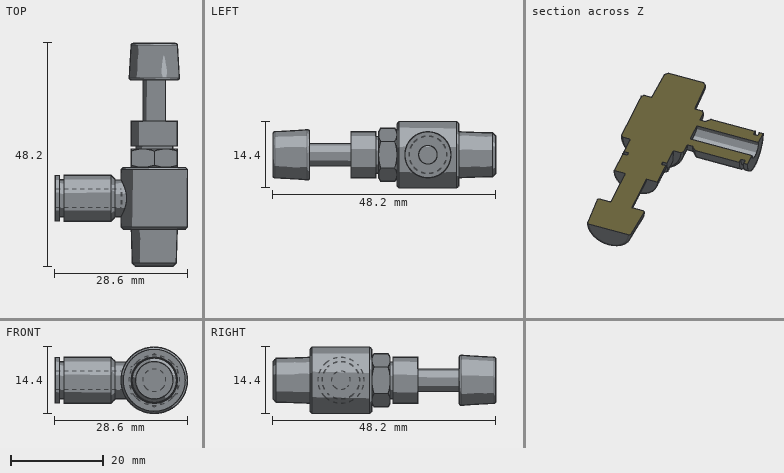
import cadquery as cq
import math


body_dia = 14.4
body_length = 13.4
body_chamfer = 0.5

plug_dia = 10.0
plug_length = 8.0
plug_taper = 1 / 16
plug_chamfer = 0.7

hex_flats = 10.0
hex_length = 3.95
hex_chamfer_dia = 10.0
hex_chamfer_angle = 30.0

neck_dia = 8.0
neck_length = 0.6
collar_dia = 10.0
collar_length = 5.4
stem_dia = 4.95
stem_length = 8.9

knob_wide_dia = 10.95
knob_narrow_dia = 10.0
knob_length = 7.95
knob_fillet = 0.5

branch_reach = 21.4
branch_dia = 10.0
branch_neck_dia = 8.0
branch_sleeve_length = 11.1
branch_chamfer = 0.9
release_ring_dia = 9.9
release_ring_length = 0.95
release_gap_dia = 8.02
release_gap_length = 0.9
bore_dia = 4.0

body_front = -body_length / 2
body_back = body_length / 2
hex_end = body_back + hex_length
neck_end = hex_end + neck_length
collar_end = neck_end + collar_length
stem_end = collar_end + stem_length


def cylinder_y(diameter, start, length):
    """Cylinder on the main axis, running from start toward +Y."""
    plane = cq.Workplane("XZ", origin=(0, start, 0))
    return plane.circle(diameter / 2).extrude(-length)


def cylinder_x(diameter, start, length):
    """Cylinder on the branch axis, running from start toward +X."""
    plane = cq.Workplane("YZ", origin=(start, 0, 0))
    return plane.circle(diameter / 2).extrude(length)


def cone_y(start_dia, end_dia, start, length):
    """Cone frustum on the main axis, running from start toward +Y."""
    half_section = [
        (0, start),
        (start_dia / 2, start),
        (end_dia / 2, start + length),
        (0, start + length),
    ]
    return cq.Workplane("XY").polyline(half_section).close().revolve(360, (0, 0, 0), (0, 1, 0))


def make_body():
    body = cylinder_y(body_dia, body_front, body_length)
    return body.faces("<Y or >Y").edges().chamfer(body_chamfer)


def make_plug():
    tip_dia = plug_dia - plug_taper * plug_length
    plug = cone_y(tip_dia, plug_dia, body_front - plug_length, plug_length)
    return plug.faces("<Y").edges().chamfer(plug_chamfer)


def make_hex():
    corner_dia = hex_flats / math.cos(math.pi / 6)
    plane = cq.Workplane("XZ", origin=(0, body_back, 0))
    prism = plane.transformed(rotate=(0, 0, 90)).polygon(6, corner_dia).extrude(-hex_length)
    rise = (corner_dia - hex_chamfer_dia) / 2 * math.tan(math.radians(hex_chamfer_angle))
    lower = cone_y(hex_chamfer_dia, corner_dia, body_back, rise)
    middle = cylinder_y(corner_dia, body_back + rise, hex_length - 2 * rise)
    upper = cone_y(corner_dia, hex_chamfer_dia, hex_end - rise, rise)
    return prism.intersect(lower.union(middle).union(upper))


def make_stem():
    neck = cylinder_y(neck_dia, hex_end, neck_length)
    collar = cylinder_y(collar_dia, neck_end, collar_length)
    stem = cylinder_y(stem_dia, collar_end, stem_length)
    return neck.union(collar).union(stem)


def make_knob():
    knob = cone_y(knob_wide_dia, knob_narrow_dia, stem_end, knob_length)
    return knob.faces("<Y or >Y").edges().fillet(knob_fillet)


def make_branch():
    gap_start = release_ring_length - branch_reach
    sleeve_start = gap_start + release_gap_length
    sleeve_end = sleeve_start + branch_sleeve_length
    ring = cylinder_x(release_ring_dia, -branch_reach, release_ring_length)
    gap = cylinder_x(release_gap_dia, gap_start, release_gap_length)
    sleeve = cylinder_x(branch_dia, sleeve_start, branch_sleeve_length)
    sleeve = sleeve.faces(">X").edges().chamfer(branch_chamfer)
    neck = cylinder_x(branch_neck_dia, sleeve_end, -sleeve_end)
    branch = ring.union(gap).union(sleeve).union(neck)
    return branch.cut(cylinder_x(bore_dia, -branch_reach, branch_reach))


result = make_body()
for section in (make_plug(), make_hex(), make_stem(), make_knob(), make_branch()):
    result = result.union(section)